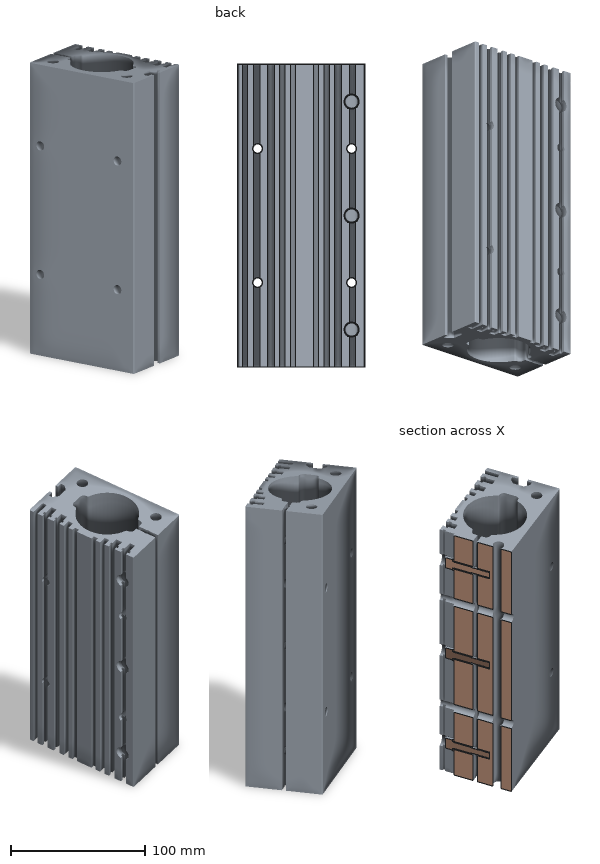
import cadquery as cq

WIDTH = 95.0
DEPTH = 60.0
HEIGHT = 226.0
CORNER_RADIUS = 1.0
MID_Y = DEPTH / 2
MID_Z = HEIGHT / 2

BORE_X = 45.0
BORE_DIAMETER = 47.7
KEYWAY_SPAN = 55.1
KEYWAY_WIDTH = 15.0
KEYWAY_CORNER_RADIUS = 3.5
KEYWAY_BLEND_RADIUS = 1.8

GAP_WIDTH = 3.2
GAP_TOP_Y = MID_Y + GAP_WIDTH / 2
GAP_BOTTOM_Y = MID_Y - GAP_WIDTH / 2
RELIEF_DIAMETER = 4.0
RELIEF_X = 8.8

DEEP_SLOT_DEPTH = 12.0
DEEP_SLOT = (35.7, 4.7, DEEP_SLOT_DEPTH)
MIDDLE_SLOT = (25.0, 5.2, 9.7)
INNER_SLOT = (16.5, 4.0, 6.0)
SHALLOW_SLOT = (8.5, 3.8, 3.0)
EDGE_SLOT = (44.3, 3.6, DEEP_SLOT_DEPTH)
SLOT_FLOOR_Y = DEPTH - DEEP_SLOT_DEPTH

CROSS_WIDTH = 7.5
CROSS_TOP_DEPTH = 2.3
CROSS_BOTTOM_DEPTH = 4.5

GROOVE_MOUTH = 8.0
GROOVE_LIP = 2.3
GROOVE_SPAN = 16.0
GROOVE_DEPTH = 9.0
GROOVE_CHAMFER = 3.6

LONG_HOLE_DIAMETER = 8.5
LONG_HOLE_XS = (13.0, 80.0)
LONG_HOLE_Y = 12.2

CLEARANCE_DIAMETER = 7.0
HOLE_OFFSET = 35.0
MOUNT_SPACING_Z = 100.0
SCREW_X = BORE_X - HOLE_OFFSET
SCREW_SPACING_Z = 85.0
SCREW_ZS = [MID_Z + step * SCREW_SPACING_Z for step in (-1, 0, 1)]

WASHER_DIAMETER = 11.0
WASHER_THICKNESS = 1.0

HEAD_DIAMETER = 10.0
HEAD_HEIGHT = 6.0
SHANK_LENGTH = 30.0
THREAD_DIAMETER = 6.0
THREAD_ROOT_DIAMETER = 5.0
THREAD_PITCH = 1.0
THREAD_TURNS = 15
HEAD_SEAT_Y = SLOT_FLOOR_Y + WASHER_THICKNESS
SCREW_TIP_Y = HEAD_SEAT_Y - SHANK_LENGTH


def upright_box(x_min, x_max, y_min, y_max):
    """A box over the full height."""
    box = cq.Workplane("XY").box(x_max - x_min, y_max - y_min, HEIGHT, centered=False)
    return box.translate((x_min, y_min, 0))


def upright_cylinder(x, y, diameter):
    """A cylinder over the full height."""
    return cq.Workplane("XY").center(x, y).circle(diameter / 2).extrude(HEIGHT)


def y_cylinder(x, z, diameter, y_start, y_end):
    """A cylinder along Y."""
    start = cq.Vector(x, y_start, z)
    along_y = cq.Vector(0, 1, 0)
    return cq.Workplane(cq.Solid.makeCylinder(diameter / 2, y_end - y_start, start, along_y))


def slot_cutter(x, width, top_depth, bottom_depth):
    """A cut between two depths below the +Y side."""
    return upright_box(x - width / 2, x + width / 2, DEPTH - bottom_depth, DEPTH - top_depth)


def bore_cutter():
    """The main bore and its keyways, rounded in their corners and where they meet the bore."""
    keyways = upright_box(
        BORE_X - KEYWAY_SPAN / 2,
        BORE_X + KEYWAY_SPAN / 2,
        MID_Y - KEYWAY_WIDTH / 2,
        MID_Y + KEYWAY_WIDTH / 2,
    )
    bore = upright_cylinder(BORE_X, MID_Y, BORE_DIAMETER).union(keyways)
    bore = bore.edges("|Z and (<X or >X)").fillet(KEYWAY_CORNER_RADIUS)
    in_keyway_mouths = cq.selectors.BoxSelector(
        (BORE_X - BORE_DIAMETER / 2, 0, 0),
        (BORE_X + BORE_DIAMETER / 2, DEPTH, HEIGHT),
    )
    return bore.edges("|Z").edges(in_keyway_mouths).fillet(KEYWAY_BLEND_RADIUS)


def side_groove_cutter():
    """The undercut groove: a narrow mouth and a wider room with two chamfered corners."""
    lip_x = WIDTH - GROOVE_LIP
    floor_x = WIDTH - GROOVE_DEPTH
    mouth = upright_box(lip_x, WIDTH, MID_Y - GROOVE_MOUTH / 2, MID_Y + GROOVE_MOUTH / 2)
    room = upright_box(floor_x, lip_x, MID_Y - GROOVE_SPAN / 2, MID_Y + GROOVE_SPAN / 2)
    return mouth.union(room.edges("|Z and <X").chamfer(GROOVE_CHAMFER))


def cut_slots(body):
    for side in (-1, 1):
        for offset, width, depth in (DEEP_SLOT, MIDDLE_SLOT, INNER_SLOT, SHALLOW_SLOT):
            body = body.cut(slot_cutter(BORE_X + side * offset, width, 0, depth))
        for offset, _, _ in (DEEP_SLOT, MIDDLE_SLOT):
            x = BORE_X + side * offset
            body = body.cut(slot_cutter(x, CROSS_WIDTH, CROSS_TOP_DEPTH, CROSS_BOTTOM_DEPTH))
    edge_offset, edge_width, edge_depth = EDGE_SLOT
    return body.cut(slot_cutter(BORE_X + edge_offset, edge_width, 0, edge_depth))


def cut_mounting_holes(body):
    for x_side in (-1, 1):
        for z_side in (-1, 1):
            x = BORE_X + x_side * HOLE_OFFSET
            z = MID_Z + z_side * MOUNT_SPACING_Z / 2
            body = body.cut(y_cylinder(x, z, CLEARANCE_DIAMETER, 0, DEPTH))
    return body


def cut_screw_holes(body):
    """Washer pocket, clearance hole down to the gap, threaded hole below the gap."""
    for z in SCREW_ZS:
        body = body.cut(y_cylinder(SCREW_X, z, WASHER_DIAMETER, SLOT_FLOOR_Y, DEPTH))
        body = body.cut(y_cylinder(SCREW_X, z, CLEARANCE_DIAMETER, GAP_TOP_Y, SLOT_FLOOR_Y))
        body = body.cut(y_cylinder(SCREW_X, z, THREAD_DIAMETER, SCREW_TIP_Y, GAP_BOTTOM_Y))
    return body


def make_housing():
    body = upright_box(0, WIDTH, 0, DEPTH).edges("|Z").fillet(CORNER_RADIUS)
    body = body.cut(bore_cutter())
    body = body.cut(upright_box(0, BORE_X, GAP_BOTTOM_Y, GAP_TOP_Y))
    body = body.cut(upright_cylinder(RELIEF_X, MID_Y, RELIEF_DIAMETER))
    body = body.cut(side_groove_cutter())
    for x in LONG_HOLE_XS:
        body = body.cut(upright_cylinder(x, LONG_HOLE_Y, LONG_HOLE_DIAMETER))
    body = cut_slots(body)
    body = cut_mounting_holes(body)
    return cut_screw_holes(body).solids()


def make_washer(z):
    washer = y_cylinder(SCREW_X, z, WASHER_DIAMETER, SLOT_FLOOR_Y, HEAD_SEAT_Y)
    washer_hole = y_cylinder(SCREW_X, z, THREAD_DIAMETER, SLOT_FLOOR_Y, HEAD_SEAT_Y)
    return washer.cut(washer_hole).solids()


def make_screw(z):
    """A round-headed screw, turned from half a profile; the thread is a row of ring grooves."""
    crest = THREAD_DIAMETER / 2
    root = THREAD_ROOT_DIAMETER / 2
    profile = cq.Workplane("XY").moveTo(0, 0).lineTo(crest, 0)
    for turn in range(THREAD_TURNS):
        profile = profile.lineTo(root, (turn + 0.5) * THREAD_PITCH)
        profile = profile.lineTo(crest, (turn + 1) * THREAD_PITCH)
    profile = profile.lineTo(crest, SHANK_LENGTH)
    profile = profile.lineTo(HEAD_DIAMETER / 2, SHANK_LENGTH)
    profile = profile.lineTo(HEAD_DIAMETER / 2, SHANK_LENGTH + HEAD_HEIGHT)
    profile = profile.lineTo(0, SHANK_LENGTH + HEAD_HEIGHT).close()
    screw = profile.revolve(360, (0, 0, 0), (0, 1, 0))
    return screw.translate((SCREW_X, SCREW_TIP_Y, z))


housing = make_housing()
washers = [make_washer(z) for z in SCREW_ZS]
screws = [make_screw(z) for z in SCREW_ZS]

result = cq.Compound.makeCompound(
    [
        housing.val(),
        *[washer.val() for washer in washers],
        *[screw.val() for screw in screws],
    ]
)